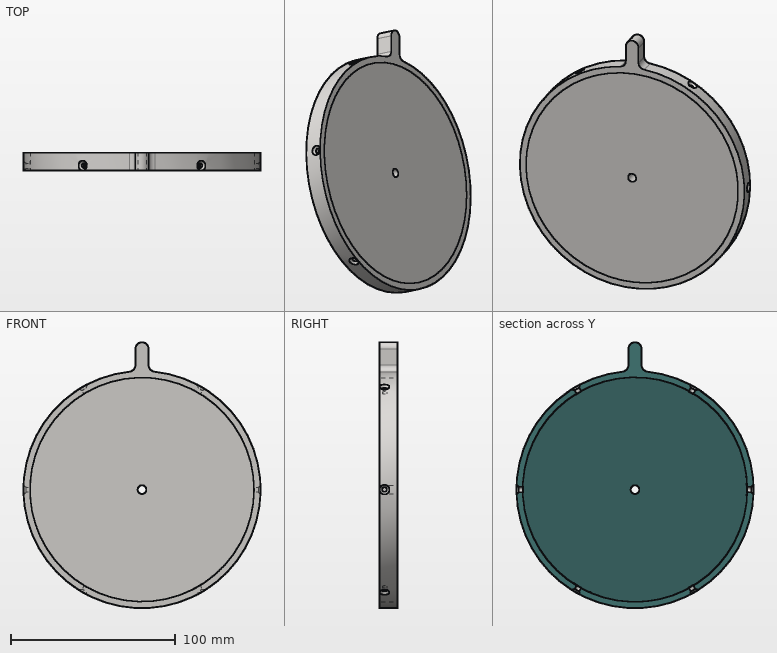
import cadquery as cq
import math

overall_height = 161.5
ring_radius = 72.0
disc_radius = 68.0
depth = 11.0
centre_hole_diameter = 5.2

tab_width = 8.0
tab_root_fillet = 4.0

screw_count = 6
screw_from_front = 3.0
screw_diameter = 2.9
countersink_diameter = 6.0
countersink_angle = 90.0

screw_y = screw_from_front
wall = ring_radius - disc_radius
tab_tip_radius = tab_width / 2
tab_top = overall_height - ring_radius
cone_slope = math.tan(math.radians(countersink_angle / 2))
countersink_depth = (countersink_diameter - screw_diameter) / 2 / cone_slope


def tab_blank():
    """Upright tab with a round tip and tangent concave fillets at its root."""
    half = tab_width / 2
    fillet_x = half + tab_root_fillet
    fillet_reach = ring_radius + tab_root_fillet
    fillet_z = math.sqrt(fillet_reach**2 - fillet_x**2)
    contact_x = fillet_x * ring_radius / fillet_reach
    contact_z = fillet_z * ring_radius / fillet_reach
    start_angle = math.pi
    end_angle = math.pi + math.atan2(fillet_z, fillet_x)
    middle_angle = (start_angle + end_angle) / 2
    middle_x = fillet_x + tab_root_fillet * math.cos(middle_angle)
    middle_z = fillet_z + tab_root_fillet * math.sin(middle_angle)
    base_z = ring_radius - wall / 2
    return (
        cq.Workplane("XZ")
        .moveTo(-contact_x, base_z)
        .lineTo(-contact_x, contact_z)
        .threePointArc((-middle_x, middle_z), (-half, fillet_z))
        .lineTo(-half, tab_top - tab_tip_radius)
        .threePointArc((0, tab_top), (half, tab_top - tab_tip_radius))
        .lineTo(half, fillet_z)
        .threePointArc((middle_x, middle_z), (contact_x, contact_z))
        .lineTo(contact_x, base_z)
        .close()
        .extrude(-depth)
    )


def screw_cutter(angle):
    """Radial countersunk hole through the ring wall, at an angle about Y."""
    overshoot = 1.6
    mouth_radius = countersink_diameter / 2 + overshoot * cone_slope
    profile = (
        cq.Workplane("XY")
        .moveTo(disc_radius - wall / 2, screw_y)
        .lineTo(disc_radius - wall / 2, screw_y + screw_diameter / 2)
        .lineTo(ring_radius - countersink_depth, screw_y + screw_diameter / 2)
        .lineTo(ring_radius + overshoot, screw_y + mouth_radius)
        .lineTo(ring_radius + overshoot, screw_y)
        .close()
    )
    cutter = profile.revolve(360, (0, screw_y, 0), (1, screw_y, 0))
    return cutter.rotate((0, 0, 0), (0, 1, 0), angle)


def make_ring():
    ring = cq.Workplane("XZ").circle(ring_radius).extrude(-depth).union(tab_blank())
    ring = ring.cut(cq.Workplane("XZ").circle(disc_radius).extrude(-depth))
    for index in range(screw_count):
        ring = ring.cut(screw_cutter(index * 360 / screw_count))
    return ring


def make_disc():
    return cq.Workplane("XZ").circle(disc_radius).circle(centre_hole_diameter / 2).extrude(-depth)


ring = make_ring()
disc = make_disc()

result = cq.Compound.makeCompound([ring.val(), disc.val()])